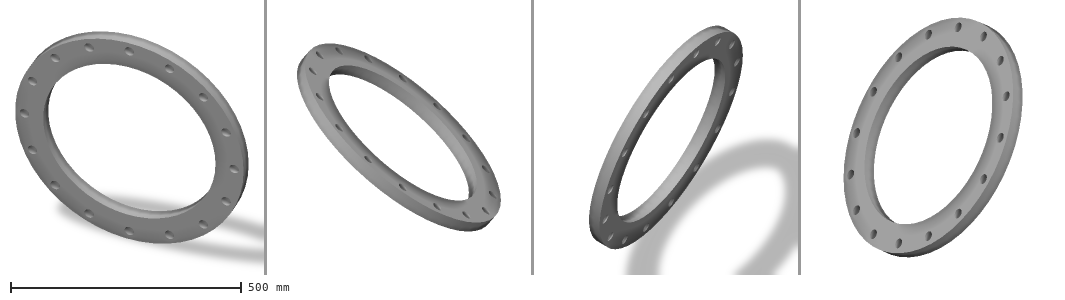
import cadquery as cq

outer_diameter = 540.0
bore_diameter = 407.0
thickness = 28.0

bolt_circle_diameter = 495.0
bolt_hole_diameter = 22.0
bolt_hole_count = 16

back_face = cq.Workplane("XZ", origin=(0, thickness / 2, 0))

ring = (
    back_face
    .circle(outer_diameter / 2)
    .circle(bore_diameter / 2)
    .extrude(thickness)
)

bolt_holes = (
    back_face
    .polarArray(bolt_circle_diameter / 2, 0, 360, bolt_hole_count)
    .circle(bolt_hole_diameter / 2)
    .extrude(thickness)
)

result = ring.cut(bolt_holes)